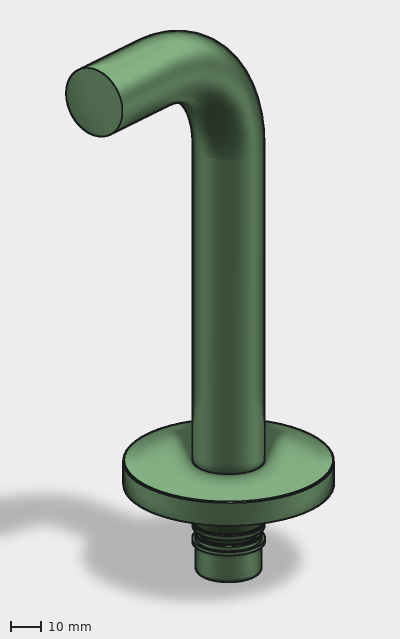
import cadquery as cq

total_height = 205.0
flange_diameter = 70.0
total_depth = 106.0

pipe_diameter = 24.0
pipe_radius = pipe_diameter / 2
bend_radius = 39.5
spout_axis_z = total_height - pipe_radius
spout_tip_y = flange_diameter / 2 - total_depth
pipe_bottom_z = 18.0
pipe_end_chamfer = 0.5

flange_bottom_z = 31.4
flange_thickness = 8.6
flange_edge_chamfer = 0.5

collar_bottom_z = 15.8
neck_radius = 9.6
shoulder_top_z = 13.7
shoulder_chamfer = 0.5
plug_radius = 11.0
plug_edge_fillet = 1.6
ring_radius = 12.0
ring_bottom_z = 10.7
ring_thickness = 1.2


def cylinder(radius, bottom_z, top_z):
    """Upright cylinder on the Z axis."""
    return cq.Workplane("XY").workplane(offset=bottom_z).circle(radius).extrude(top_z - bottom_z)


def bent_pipe():
    """Solid pipe rising along Z and bending toward -Y."""
    bend_start_z = spout_axis_z - bend_radius
    path = (
        cq.Workplane("YZ")
        .moveTo(0, pipe_bottom_z)
        .lineTo(0, bend_start_z)
        .tangentArcPoint((-bend_radius, spout_axis_z), relative=False)
        .lineTo(spout_tip_y, spout_axis_z)
    )
    pipe = cq.Workplane("XY").workplane(offset=pipe_bottom_z).circle(pipe_radius).sweep(path)
    return pipe.faces("<Z").edges().chamfer(pipe_end_chamfer)


def wall_flange():
    """Round plate around the pipe with a lightly broken upper edge."""
    plate = cylinder(flange_diameter / 2, flange_bottom_z, flange_bottom_z + flange_thickness)
    return plate.faces(">Z").edges().chamfer(flange_edge_chamfer)


def connector():
    """Collar, neck, ring and rounded plug at the lower end."""
    collar = cylinder(pipe_radius, collar_bottom_z, pipe_bottom_z).edges().chamfer(pipe_end_chamfer)
    neck = cylinder(neck_radius, shoulder_top_z, collar_bottom_z)
    plug = cylinder(plug_radius, 0, shoulder_top_z)
    plug = plug.faces("<Z").edges().fillet(plug_edge_fillet)
    plug = plug.faces(">Z").edges().chamfer(shoulder_chamfer)
    ring = cylinder(ring_radius, ring_bottom_z, ring_bottom_z + ring_thickness)
    return collar.union(neck).union(plug).union(ring)


result = bent_pipe().union(wall_flange()).union(connector())